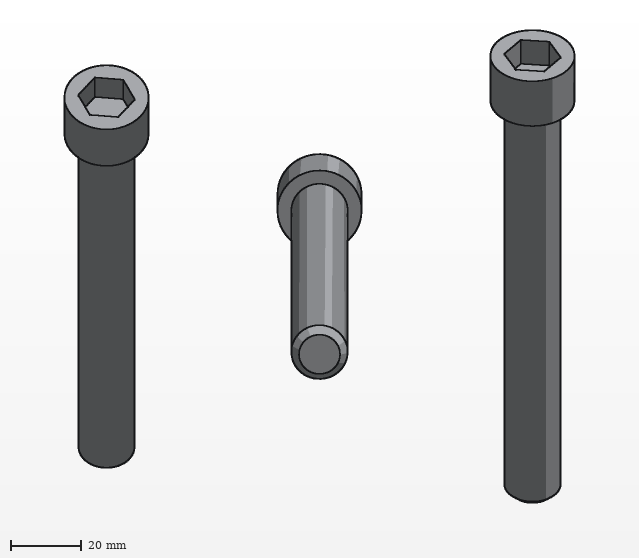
import cadquery as cq
import math

total_length = 156.0
head_diameter = 24.0
shank_diameter = 16.0
head_height = shank_diameter
thread_length = 44.0
tip_chamfer = 2.2
socket_across_flats = 14.0
socket_depth = 8.6

shank_length = total_length - head_height


def make_threaded_end():
    """Plain cylinder at the thread's outer diameter, chamfered at the tip."""
    end = cq.Workplane("XY").circle(shank_diameter / 2).extrude(thread_length)
    return end.faces("<Z").chamfer(tip_chamfer)


def make_plain_shank():
    return (
        cq.Workplane("XY", origin=(0, 0, thread_length))
        .circle(shank_diameter / 2)
        .extrude(shank_length - thread_length)
    )


def make_head():
    return (
        cq.Workplane("XY", origin=(0, 0, shank_length))
        .circle(head_diameter / 2)
        .extrude(head_height)
    )


def make_socket():
    """Hexagonal pocket with corners on the X axis."""
    across_corners = socket_across_flats / math.cos(math.pi / 6)
    return (
        cq.Workplane("XY", origin=(0, 0, total_length))
        .polygon(6, across_corners)
        .extrude(-socket_depth)
    )


result = (
    make_threaded_end()
    .union(make_plain_shank())
    .union(make_head())
    .cut(make_socket())
)